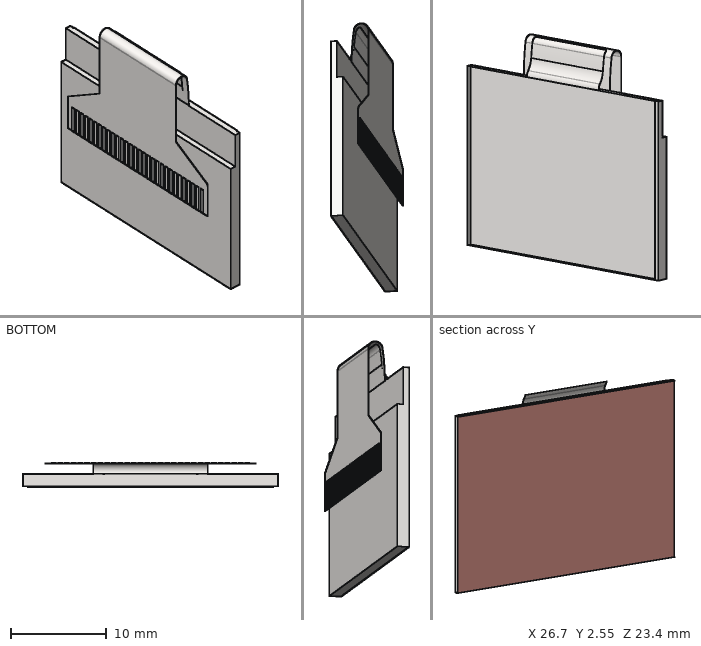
import cadquery as cq
import math


panel_width = 26.7
panel_height = 19.2
panel_thickness = 1.3
sheet_thickness = panel_thickness / 2
ledge_height = 3.98
front_sheet_height = panel_height - ledge_height
ledge_y = -sheet_thickness

film_thickness = 0.08
film_side_margin = 0.48
film_bottom_margin = 0.13
film_width = panel_width - 2 * film_side_margin

total_depth = 2.55
total_height = 23.35

tail_thickness = 0.05
tail_neck_width = 12.02
tail_wide_width = 22.0
tail_wide_height = 4.0
tail_bottom_z = 8.55
tail_corner_radius = 0.27
shoulder_angle = 30.0
loop_radius = 0.8

pad_count = 30
pad_width = 0.43
pad_height = 3.0
pad_pitch = 0.7
pad_thickness = 0.03

tape_thickness = 0.04
tape_width = 10.0
tape_corner_radius = 0.2
tape_lower_radius = 1.12
tape_joint_height = 1.92
tape_end_from_loop = 0.35

tail_front_y = film_thickness - total_depth + pad_thickness
loop_y = tail_front_y + loop_radius
loop_z = total_height - loop_radius
foot_y = ledge_y + tail_thickness
foot_rise = loop_z - panel_height
foot_offset = foot_y - loop_y
bend_radius = (foot_offset**2 + foot_rise**2 - loop_radius**2) / (2 * (foot_offset - loop_radius))
bend_y = foot_y - bend_radius
bend_z = panel_height
bend_angle = math.asin(foot_rise / (bend_radius - loop_radius))

lower_center = (-tape_lower_radius, panel_height)
joint_angle = math.asin(tape_joint_height / bend_radius)
joint_dy = bend_y + bend_radius * math.cos(joint_angle) - lower_center[0]
joint_dz = tape_joint_height
joint_reach = joint_dy * math.cos(joint_angle) + joint_dz * math.sin(joint_angle)
joint_power = joint_dy**2 + joint_dz**2 - tape_lower_radius**2
tape_upper_radius = joint_power / (2 * (tape_lower_radius - joint_reach))
upper_center = (
    bend_y + (bend_radius + tape_upper_radius) * math.cos(joint_angle),
    bend_z + (bend_radius + tape_upper_radius) * math.sin(joint_angle),
)
tape_lean = math.atan2(upper_center[1] - lower_center[1], upper_center[0] - lower_center[0])


def polar(center, radius, angle):
    """Point at a radius and angle (from +Y towards +Z) around a centre in the YZ plane."""
    return (center[0] + radius * math.cos(angle), center[1] + radius * math.sin(angle))


def arc(path, center, radius, start, end):
    """Continue a YZ path along an arc; the path already stands at the start angle."""
    middle = polar(center, radius, (start + end) / 2)
    return path.threePointArc(middle, polar(center, radius, end))


def block(width, y_front, y_back, z_bottom, z_top):
    """Box centred on X."""
    base = cq.Workplane("XY", origin=(0, (y_front + y_back) / 2, z_bottom))
    return base.rect(width, y_back - y_front).extrude(z_top - z_bottom)


def make_panel():
    back_sheet = block(panel_width, ledge_y, 0, 0, panel_height)
    front_sheet = block(panel_width, -panel_thickness, ledge_y, 0, front_sheet_height)
    film = block(film_width, 0, film_thickness, film_bottom_margin, panel_height)
    return back_sheet.union(front_sheet).union(film)


def make_tail_front():
    """Flat front run: a neck that widens through sloped shoulders."""
    half_neck = tail_neck_width / 2
    half_wide = tail_wide_width / 2
    wide_top = tail_bottom_z + tail_wide_height
    shoulder_top = wide_top + (half_wide - half_neck) * math.tan(math.radians(shoulder_angle))
    outline = [
        (-half_wide, tail_bottom_z),
        (half_wide, tail_bottom_z),
        (half_wide, wide_top),
        (half_neck, shoulder_top),
        (half_neck, loop_z),
        (-half_neck, loop_z),
        (-half_neck, shoulder_top),
        (-half_wide, wide_top),
    ]
    sheet = cq.Workplane("XZ", origin=(0, tail_front_y, 0)).polyline(outline).close().extrude(-tail_thickness)
    margin = tail_corner_radius
    shoulders = cq.selectors.BoxSelector(
        (-half_wide - margin, tail_front_y - margin, wide_top - margin),
        (half_wide + margin, tail_front_y + margin, shoulder_top + margin),
    )
    return sheet.edges("|Y").edges(shoulders).fillet(tail_corner_radius)


def make_tail_fold():
    """Loop over the top and gentle bend down to the ledge."""
    loop = (loop_y, loop_z)
    bend = (bend_y, bend_z)
    inner_loop = loop_radius - tail_thickness
    inner_bend = bend_radius - tail_thickness
    path = cq.Workplane("YZ").moveTo(*polar(bend, bend_radius, 0))
    path = arc(path, bend, bend_radius, 0, bend_angle)
    path = arc(path, loop, loop_radius, bend_angle, math.pi)
    path = path.lineTo(*polar(loop, inner_loop, math.pi))
    path = arc(path, loop, inner_loop, math.pi, bend_angle)
    path = arc(path, bend, inner_bend, bend_angle, 0)
    return path.close().extrude(tail_neck_width / 2, both=True)


def make_tape():
    """Tape rising from the film onto the tail, ending with rounded corners near the fold's crest."""
    loop = (loop_y, loop_z)
    bend = (bend_y, bend_z)
    outer_loop = loop_radius + tape_thickness
    outer_bend = bend_radius + tape_thickness
    crest = math.pi / 2
    upper_start = math.pi + tape_lean
    upper_end = math.pi + joint_angle
    path = cq.Workplane("YZ").moveTo(0, panel_height)
    path = arc(path, lower_center, tape_lower_radius, 0, tape_lean)
    path = arc(path, upper_center, tape_upper_radius, upper_start, upper_end)
    path = arc(path, bend, bend_radius, joint_angle, bend_angle)
    path = arc(path, loop, loop_radius, bend_angle, crest)
    path = path.lineTo(*polar(loop, outer_loop, crest))
    path = arc(path, loop, outer_loop, crest, bend_angle)
    path = arc(path, bend, outer_bend, bend_angle, joint_angle)
    path = arc(path, upper_center, tape_upper_radius - tape_thickness, upper_end, upper_start)
    path = arc(path, lower_center, tape_lower_radius + tape_thickness, tape_lean, 0)
    strip = path.close().extrude(tape_width / 2, both=True)
    trim = block(tape_width, loop_y + tape_end_from_loop, film_thickness, panel_height, total_height)
    return strip.intersect(trim.edges("|Z and <Y").fillet(tape_corner_radius))


def make_pads():
    first_x = -pad_pitch * (pad_count - 1) / 2
    pad_top_z = tail_bottom_z + pad_height
    pad = block(pad_width, tail_front_y - pad_thickness, tail_front_y, tail_bottom_z, pad_top_z)
    pads = cq.Workplane("XY")
    for index in range(pad_count):
        pads = pads.add(pad.translate((first_x + index * pad_pitch, 0, 0)))
    return pads.combine()


tail = make_tail_fold().union(make_tail_front()).union(make_pads())
result = make_panel().union(tail).union(make_tape())